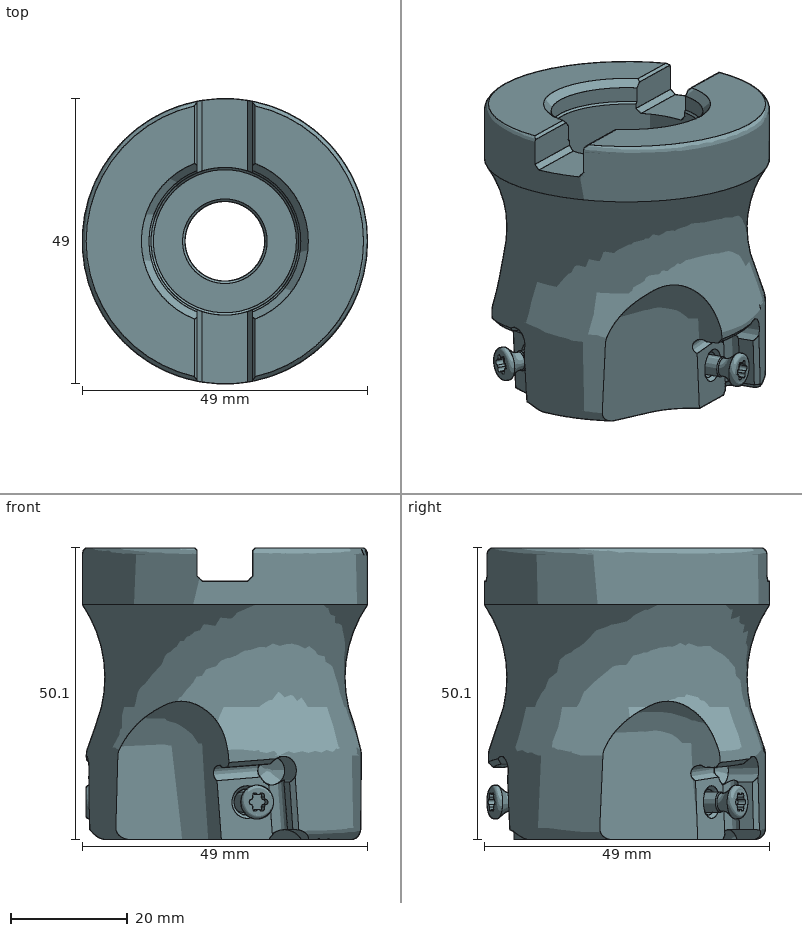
import cadquery as cq
import math

height = 50.1

body_radius = 23.8
bottom_round = 2.0
body_top = 14.45
lip_radius = 23.55
lip_top = 15.8
cone_top_radius = 21.25
cone_top = 22.7
waist_radius = 20.65
waist_height = 28.45
flange_radius = 24.5
flange_bottom = 40.35
flange_round_width = 0.7
flange_round_height = 1.2

mouth_radius = 14.35
entry_radius = 13.05
bore_radius = 12.7
lower_bore_radius = 12.25
through_radius = 6.8
mouth_depth = 1.25
entry_depth = 3.75
bore_depth = 15.05
floor_depth = 20.05
hole_chamfer = 0.45

slot_half_width = 4.75
slot_depth = 5.7
slot_floor_chamfer = 0.85
slot_edge_chamfer = 0.45

station_angles = [0.0, 109.5, -120.0]
rake = 4.5

flute_radius = 11.6
flute_x = -22.35
flute_y = 17.9
flute_length = 15.8
flute_flat_angle = 66.0
flute_travel = 20.05

seat_distance = 18.1
screw_y = 2.3
screw_z = 6.45
wall_offset = 6.3
edge_chamfer = 0.85
pocket_run = 9.0
pocket_height = 8.0
pocket_rim_height = body_radius - seat_distance
groove_offset = 5.3
groove_radius = 1.4
groove_lift = 0.7
corner_offset = 5.0
corner_radius = 2.45
relief_x = 6.3
relief_y = -8.9
relief_radius = 3.65
relief_half_angle = 40.0
drill_sink = 0.75
corner_half_angle = 59.0

screw_start = 13.05
shank_radius = 1.75
shank_end = 20.05
neck_radius = 1.55
neck_end = 20.35
flare_radius = 1.95
flare_end = 21.65
head_radius = 2.9
head_start = 22.85
rim_end = 23.25
face_radius = 2.15
screw_end = 23.85
hole_mouth_radius = 2.8
hole_clearance_radius = 2.2
hole_clearance_depth = 2.5
socket_tip_radius = 1.7
socket_lobe_radius = 0.45
socket_core_radius = 1.3
socket_depth = 1.5
lobe_count = 6

overcut = 2.5


def turned_blank():
    outline = (
        cq.Workplane("XZ")
        .moveTo(0, 0)
        .lineTo(body_radius - bottom_round, 0)
        .tangentArcPoint((body_radius, bottom_round), relative=False)
        .lineTo(body_radius, body_top)
        .tangentArcPoint((lip_radius, lip_top), relative=False)
        .lineTo(cone_top_radius, cone_top)
        .threePointArc((waist_radius, waist_height), (flange_radius, flange_bottom))
        .lineTo(flange_radius, height - flange_round_height)
        .tangentArcPoint((flange_radius - flange_round_width, height), relative=False)
        .lineTo(0, height)
        .close()
    )
    return outline.revolve(360, (0, 0, 0), (0, 1, 0))


def bore():
    floor = height - floor_depth
    entry_end = height - entry_depth
    bore_end = height - bore_depth
    outline = (
        cq.Workplane("XZ")
        .moveTo(0, -overcut)
        .lineTo(through_radius, -overcut)
        .lineTo(through_radius, floor - hole_chamfer)
        .lineTo(through_radius + hole_chamfer, floor)
        .lineTo(lower_bore_radius, floor)
        .lineTo(lower_bore_radius, bore_end - (bore_radius - lower_bore_radius))
        .lineTo(bore_radius, bore_end)
        .lineTo(bore_radius, entry_end - (entry_radius - bore_radius))
        .lineTo(entry_radius, entry_end)
        .lineTo(entry_radius, height - mouth_depth)
        .lineTo(mouth_radius, height)
        .lineTo(mouth_radius, height + overcut)
        .lineTo(0, height + overcut)
        .close()
    )
    return outline.revolve(360, (0, 0, 0), (0, 1, 0))


def drive_slot():
    floor = height - slot_depth
    half_outline = [
        (0, floor),
        (slot_half_width - slot_floor_chamfer, floor),
        (slot_half_width, floor + slot_floor_chamfer),
        (slot_half_width, height - slot_edge_chamfer),
        (slot_half_width + slot_edge_chamfer, height),
        (slot_half_width + slot_edge_chamfer, height + overcut),
        (0, height + overcut),
    ]
    half = cq.Workplane("XZ").polyline(half_outline).close().extrude(flange_radius + overcut, both=True)
    return half.union(half.mirror("YZ"))


def chip_flute():
    """Ball-nosed cutter standing on the origin, swept along +X, then turned, leaned and placed."""
    stem_length = flute_length + overcut
    cutter = cq.Workplane("XY", origin=(0, 0, -overcut)).circle(flute_radius).extrude(stem_length)
    ball = cq.Workplane("XY", origin=(0, 0, flute_length)).sphere(flute_radius)
    sweep = (
        cq.Workplane("YZ")
        .moveTo(-flute_radius, -overcut)
        .lineTo(-flute_radius, flute_length)
        .threePointArc((0, flute_length + flute_radius), (flute_radius, flute_length))
        .lineTo(flute_radius, -overcut)
        .close()
        .extrude(flute_travel)
    )
    return (
        cutter.union(ball)
        .union(sweep)
        .rotate((0, 0, 0), (0, 0, 1), flute_flat_angle)
        .rotate((0, 0, 0), (1, 0, 0), -rake)
        .translate((flute_x, flute_y, 0))
    )


def seat_plane():
    """Plane of the insert seat: origin on the screw axis, normal outward, X away from the flute."""
    lean = math.radians(rake)
    return cq.Plane(
        origin=(-seat_distance, screw_y, screw_z),
        xDir=(0, -math.cos(lean), math.sin(lean)),
        normal=(-1, 0, 0),
    )


def drilled_relief(x, y, radius, half_angle):
    """Hole square to the seat, ending in a drill-point cone just below it."""
    tip = -drill_sink - radius / math.tan(math.radians(half_angle))
    outline = [(0, tip), (radius, -drill_sink), (radius, pocket_height), (0, pocket_height)]
    drill = cq.Workplane("XZ").polyline(outline).close().revolve(360, (0, 0, 0), (0, 1, 0))
    return drill.translate((x, y, 0)).val().moved(cq.Location(seat_plane()))


def wall_groove(direction):
    """Round undercut along the foot of one pocket wall; direction is the seat axis it follows."""
    length = pocket_run + corner_offset
    if direction == "x":
        bar = cq.Solid.makeCylinder(
            groove_radius, length, cq.Vector(-pocket_run, groove_offset, groove_lift), cq.Vector(1, 0, 0)
        )
    else:
        bar = cq.Solid.makeCylinder(
            groove_radius, length, cq.Vector(groove_offset, -pocket_run, groove_lift), cq.Vector(0, 1, 0)
        )
    return bar.moved(cq.Location(seat_plane()))


def insert_pocket():
    side = pocket_run + wall_offset
    middle = (wall_offset - pocket_run) / 2
    recess = (
        cq.Workplane(seat_plane())
        .center(middle, middle)
        .rect(side, side)
        .extrude(pocket_height)
    )
    return (
        recess.union(wall_groove("x"))
        .union(wall_groove("y"))
        .union(drilled_relief(corner_offset, corner_offset, corner_radius, corner_half_angle))
        .union(drilled_relief(relief_x, relief_y, relief_radius, relief_half_angle))
    )


def along_screw(outline):
    """Turn an outline of (radius, distance from Z axis) about the screw axis."""
    turned = outline.close().revolve(360, (0, 0, 0), (0, 1, 0))
    return turned.rotate((0, 0, 0), (0, 1, 0), -90).translate((0, screw_y, screw_z))


def screw_hole():
    outline = cq.Workplane("XZ").polyline([
        (0, screw_start),
        (shank_radius, screw_start),
        (shank_radius, seat_distance - hole_clearance_depth),
        (hole_clearance_radius, seat_distance - hole_clearance_depth),
        (hole_clearance_radius, seat_distance - (hole_mouth_radius - hole_clearance_radius)),
        (hole_mouth_radius, seat_distance),
        (0, seat_distance),
    ])
    return along_screw(outline)


def insert_screw():
    blank = along_screw(
        cq.Workplane("XZ")
        .moveTo(0, screw_start)
        .lineTo(shank_radius, screw_start)
        .lineTo(shank_radius, shank_end - (shank_radius - neck_radius))
        .lineTo(neck_radius, shank_end)
        .lineTo(neck_radius, neck_end)
        .tangentArcPoint((flare_radius, flare_end), relative=False)
        .lineTo(head_radius, head_start)
        .lineTo(head_radius, rim_end)
        .tangentArcPoint((face_radius, screw_end), relative=False)
        .lineTo(0, screw_end)
    )
    face = cq.Plane(origin=(-screw_end, screw_y, screw_z), xDir=(0, 1, 0), normal=(-1, 0, 0))
    lobe_ring = socket_tip_radius - socket_lobe_radius
    socket = cq.Workplane(face).circle(socket_core_radius).extrude(-socket_depth)
    lobes = (
        cq.Workplane(face)
        .polarArray(lobe_ring, 0, 360, lobe_count)
        .circle(socket_lobe_radius)
        .extrude(-socket_depth)
    )
    return blank.cut(socket).cut(lobes)


def chamfer_pocket_rim(body):
    """Break the edges where the two pocket walls reach the turned outside."""
    rim_points = [(0, wall_offset, pocket_rim_height), (wall_offset, 0, pocket_rim_height)]
    for rim_point in rim_points:
        near_rim = seat_plane().toWorldCoords(rim_point).toTuple()
        body = body.edges(cq.selectors.NearestToPointSelector(near_rim)).chamfer(edge_chamfer)
    return body


def about_axis(shape, angle):
    return shape.rotate((0, 0, 0), (0, 0, 1), angle)


cutter_body = turned_blank().cut(bore()).cut(drive_slot())
flute = chip_flute()
pocket = insert_pocket()
hole = screw_hole()
for station_angle in station_angles:
    facing = about_axis(cutter_body, -station_angle)
    facing = chamfer_pocket_rim(facing.cut(flute).cut(pocket).cut(hole))
    cutter_body = about_axis(facing, station_angle)

screw = insert_screw()
screws = [about_axis(screw, station_angle).val() for station_angle in station_angles]

result = cq.Compound.makeCompound([cutter_body.val(), *screws])